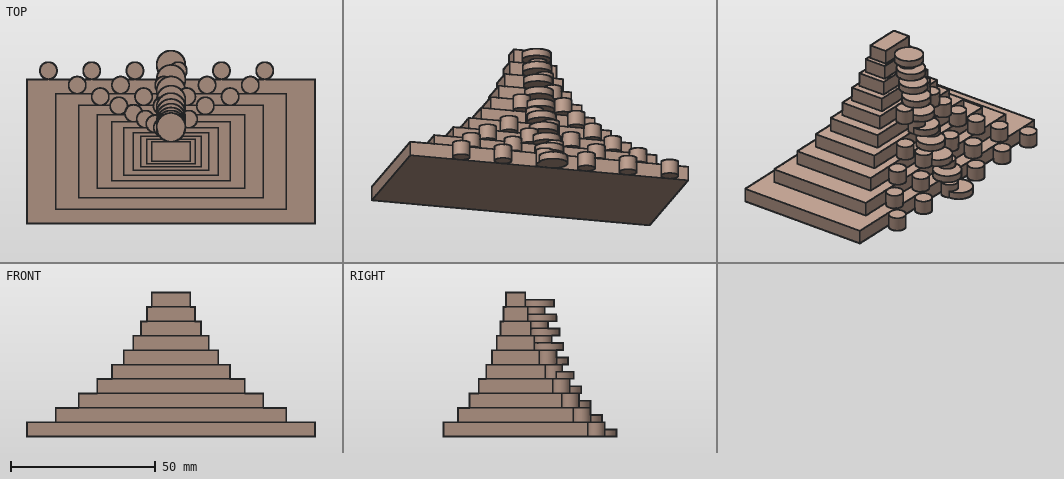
import cadquery as cq
import math

base_width = 100.0
base_depth = 50.0
tier_ratio = 0.8
tier_height = 5.0
tier_count = 10

post_radius = 3.0
post_pitch = 15.0

disc_radius = 5.0
disc_height = tier_height / 2


def tier_width(level):
    return base_width * tier_ratio**level


def tier_back(level):
    """Y of the back wall of a tier."""
    return base_depth * tier_ratio**level / 2


def upright_cylinder(x, level, radius, height):
    """Cylinder on the floor of a level, tangent to the back wall of its tier."""
    center = (x, tier_back(level) + radius, level * tier_height)
    return cq.Workplane("XY", origin=center).circle(radius).extrude(height)


def tier(level):
    floor = (0, 0, level * tier_height)
    return cq.Workplane("XY", origin=floor).rect(tier_width(level), 2 * tier_back(level)).extrude(tier_height)


def post(x, level):
    return upright_cylinder(x, level, post_radius, tier_height)


def disc(level):
    return upright_cylinder(0, level, disc_radius, disc_height)


def post_positions(level):
    """X of the posts of a level: as many whole pitches as fit, counted from the -X end."""
    width = tier_width(level)
    count = math.floor(width / post_pitch)
    return [-width / 2 + (i + 0.5) * post_pitch for i in range(count)]


def is_loose(x, level):
    """A ground post that stays clear of the disc only touches the tower along a line."""
    return level == 0 and abs(x) > disc_radius + post_radius


tower = tier(0)
for level in range(1, tier_count):
    tower = tower.union(tier(level))
for level in range(tier_count):
    tower = tower.union(disc(level))
    for x in post_positions(level):
        if not is_loose(x, level):
            tower = tower.union(post(x, level))

loose_posts = [post(x, 0) for x in post_positions(0) if is_loose(x, 0)]

result = cq.Compound.makeCompound([tower.solids().val(), *[loose_post.val() for loose_post in loose_posts]])